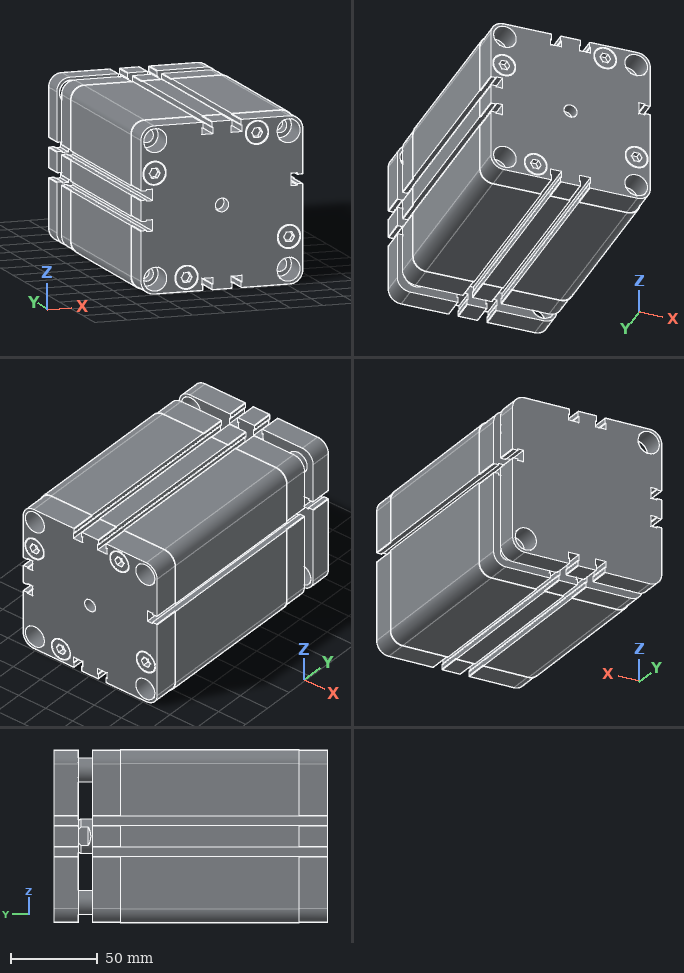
import cadquery as cq
import math


total_length = 158.0
cap_length = 16.5
plate_thickness = 14.0
plate_gap = 8.0
body_length = total_length - 2 * cap_length - plate_gap - plate_thickness
front_cap_start = cap_length + body_length
front_cap_face = front_cap_start + cap_length
plate_start = front_cap_face + plate_gap

body_width = 100.0
cap_width = 99.4
corner_radius = 8.0

slot_offset = 9.0
mouth_width = 5.5
channel_width = 6.8
slot_floor = 42.5
channel_depth = 3.8
mouth_edge_bevel = 0.3
side_slot_height = 12.0
side_channel_width = 7.3

mount_offset = 41.0
mount_bore = 8.4
mount_counterbore = 14.0
counterbore_depth = 15.0
blind_bore_depth = 22.1
plate_bore = 14.0

screw_edge_offset = 41.2
screw_side_offset = 21.6
screw_recess = 14.0
screw_head = 13.5
recess_gap_depth = 1.0
socket_flats = 5.7
socket_depth = 4.0

port_diameter = 8.0
port_depth = 7.9

rod_diameter = 20.0
rod_chamfer_length = 1.6
rod_chamfer_depth = 0.6
wrench_flats = 17.0
flat_length = 5.7
guide_diameter = 14.0
guide_offset = 38.2


def block(width, start, length):
    """Square bar along Y with rounded long edges."""
    bar = cq.Workplane("XY").box(width, length, width).edges("|Y").fillet(corner_radius)
    return bar.translate((0, start + length / 2, 0))


def cylinder(diameter, x, z, start, length):
    """Round bar along +Y."""
    return cq.Workplane(cq.Solid.makeCylinder(
        diameter / 2, length, cq.Vector(x, start, z), cq.Vector(0, 1, 0)))


def slot_cutter(offset, angle, inner_width, part_width, bevel):
    """Full-length slot on the +Z side, turned about the axis by angle."""
    half_mouth = mouth_width / 2
    half_channel = inner_width / 2
    lip_bottom = slot_floor + channel_depth
    surface = part_width / 2
    right_side = [
        (half_channel, slot_floor),
        (half_channel, lip_bottom),
        (half_mouth, lip_bottom),
        (half_mouth, surface - bevel),
    ]
    if bevel > 0:
        right_side.append((half_mouth + bevel, surface))
    left_side = [(-x, z) for x, z in reversed(right_side)]
    profile = cq.Workplane("XZ").center(offset, 0).polyline(right_side + left_side).close()
    return profile.extrude(-total_length).rotate((0, 0, 0), (0, 1, 0), angle)


def slotted_block(width, start, length, bevel):
    """Block with two slots on the +Z, -Z and -X sides and a single slot on the +X side."""
    part = block(width, start, length)
    for angle in (0, 180, 270):
        for offset in (-slot_offset, slot_offset):
            part = part.cut(slot_cutter(offset, angle, channel_width, width, bevel))
    return part.cut(slot_cutter(-side_slot_height, 90, side_channel_width, width, bevel))


def add_mounting_holes(part):
    for x_sign in (-1, 1):
        for z_sign in (-1, 1):
            x = x_sign * mount_offset
            z = z_sign * mount_offset
            part = part.cut(cylinder(mount_counterbore, x, z, 0, counterbore_depth))
            if x_sign == z_sign:
                part = part.cut(cylinder(mount_bore, x, z, 0, blind_bore_depth))
            else:
                part = part.cut(cylinder(mount_bore, x, z, 0, front_cap_face))
                part = part.cut(cylinder(plate_bore, x, z, plate_start, plate_thickness))
    return part


def add_cap_screws(part):
    socket_corners = socket_flats / math.cos(math.pi / 6)
    positions = (
        (screw_side_offset, screw_edge_offset),
        (screw_edge_offset, -screw_side_offset),
        (-screw_side_offset, -screw_edge_offset),
        (-screw_edge_offset, screw_side_offset),
    )
    for x, z in positions:
        recess = cylinder(screw_recess, x, z, 0, recess_gap_depth)
        head = cylinder(screw_head, x, z, 0, recess_gap_depth)
        socket = (cq.Workplane("XZ").center(x, z).polygon(6, socket_corners)
                  .extrude(-socket_depth))
        part = part.cut(recess.cut(head)).cut(socket)
    return part


def make_piston_rod():
    """Short exposed rod with two wrench flats that run out at 45 degrees."""
    rod = cylinder(rod_diameter, 0, 0, front_cap_face, plate_gap)
    rod = rod.faces(">Y").chamfer(rod_chamfer_length, rod_chamfer_depth)
    flat_end = plate_start - flat_length
    half_flats = wrench_flats / 2
    cut_depth = rod_diameter / 2 - half_flats
    for side in (-1, 1):
        flat = (cq.Workplane("XY")
                .moveTo(side * half_flats, plate_start)
                .lineTo(side * half_flats, flat_end)
                .lineTo(side * (half_flats + cut_depth), flat_end - cut_depth)
                .lineTo(side * (half_flats + cut_depth), plate_start)
                .close()
                .extrude(rod_diameter / 2, both=True))
        rod = rod.cut(flat)
    return rod


def build():
    part = slotted_block(body_width, cap_length, body_length, 0)
    for start, length in (
        (0, cap_length),
        (front_cap_start, cap_length),
        (plate_start, plate_thickness),
    ):
        part = part.union(slotted_block(cap_width, start, length, mouth_edge_bevel))
    part = part.union(make_piston_rod())
    for sign in (-1, 1):
        guide = cylinder(guide_diameter, sign * guide_offset, sign * guide_offset,
                         front_cap_face, plate_gap)
        part = part.union(guide)
    part = add_mounting_holes(part)
    part = add_cap_screws(part)
    return part.cut(cylinder(port_diameter, 0, 0, 0, port_depth))


result = build()